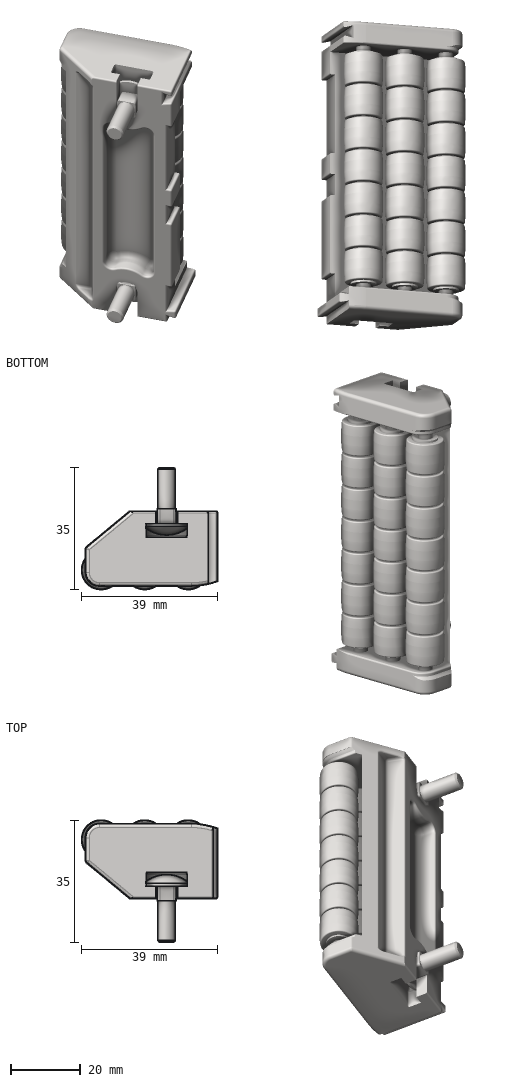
import cadquery as cq
import math

HEIGHT = 85.0
HALF_HEIGHT = HEIGHT / 2

LEFT_X = -23.3
RIGHT_X = 13.4
STEP_X = 11.9
BACK_Y = 21.5
BEVEL_BACK_Y = 10.5
BEVEL_FRONT_X = -10.5
BEVEL_SLOPE = BEVEL_BACK_Y / (BEVEL_FRONT_X - LEFT_X)
BACK_CORNER_R = 4.0
BEVEL_CORNER_R = 0.9
CROWN_START_X = 7.05
CROWN_R = 21.25
END_FILLET = 1.0
FRONT_FILLET = 0.5

BAY_FLOOR_Y = 8.3
BAY_HALF = 35.95
PAD_LEFT_X = -22.35
PAD_CORNER_R = 4.7
PAD_THICKNESS = 1.1
PAD_SLOPE = 0.85
PAD_FILLET = 0.4
PAD_SLOPE_ANGLE = 45.0

CREST_FILLET = 0.4
FINGER_HALF = 6.2
FINGER_END = 29.4
DOVETAIL_Z = 39.3
DOVETAIL_TIP_X = 14.6
DOVETAIL_NECK = 1.9
DOVETAIL_TIP = 2.9
SOCKET_FLOOR_X = 10.7
SOCKET_MOUTH = 2.2
SOCKET_WIDTH = 3.7

GROOVE_FLOOR_Y = 5.2
GROOVE_WALL_X = -11.9
GROOVE_MOUTH_X = -10.3
GROOVE_HALF = 39.5
GROOVE_FILLET = 0.85

BOLT_Z = 33.6
SHANK_R = 2.55
SHANK_END_Y = -12.5
SHANK_CHAMFER = 0.5
NECK_WIDTH = 5.4
NECK_CORNER_R = 0.8
NECK_END_Y = -0.7
HEAD_R = 6.6
HEAD_SEAT_Y = 3.6
HEAD_RIM = 0.8
HEAD_HEIGHT = 3.3
SLOT_HALF_WIDTH = 3.15
HEAD_SLOT_HALF_WIDTH = 5.9
SLOT_ROOF_Y = 7.6
SLOT_ROOF_FILLET = 0.6

GRIP_LEFT_X = -6.9
GRIP_RIGHT_X = 7.9
GRIP_DEPTH = 5.6
GRIP_END_R = 8.1
GRIP_CORNER_R = 2.2
GRIP_FLOOR_FILLET = 2.0

ROLLER_X = -18.8
ROLLER_Y = 16.9
ROW_PITCH = 12.5
ROW_COUNT = 3
ROLLER_COUNT = 7
ROLLER_PITCH = 9.7
ROLLER_LENGTH = 9.1
ROLLER_R = 5.6
ROLLER_FLAT_HALF = 1.45
ROLLER_END_R = 5.35
ROLLER_EDGE_R = 0.3
HUB_R = 3.7
HUB_OVERHANG = 0.5
AXLE_R = 2.1

CLEAR = 8.5
SPAN = 2 * HEIGHT
TOUCH = 0.1


def square_neck(front_y):
    """Square bolt neck with rounded corners, from front_y back to the seat of the bolt head."""
    return (
        cq.Workplane("XZ", origin=(0, front_y, 0))
        .rect(NECK_WIDTH, NECK_WIDTH)
        .extrude(front_y - HEAD_SEAT_Y)
        .edges("|Y")
        .fillet(NECK_CORNER_R)
    )


def plan_block():
    """Plan outline with rounded ends; it runs past the front and right sides, which are trimmed later."""
    far_x = RIGHT_X + CLEAR
    bevel_run_x = BEVEL_FRONT_X + CLEAR / BEVEL_SLOPE

    def crown_y(x):
        return BACK_Y - CROWN_R + math.sqrt(CROWN_R**2 - (x - CROWN_START_X) ** 2)

    mid_x = (CROWN_START_X + far_x) / 2
    block = (
        cq.Workplane("XY", origin=(0, 0, -HALF_HEIGHT))
        .moveTo(bevel_run_x, -CLEAR)
        .lineTo(far_x, -CLEAR)
        .lineTo(far_x, crown_y(far_x))
        .threePointArc((mid_x, crown_y(mid_x)), (CROWN_START_X, BACK_Y))
        .lineTo(LEFT_X, BACK_Y)
        .lineTo(LEFT_X, BEVEL_BACK_Y)
        .close()
        .extrude(HEIGHT)
    )
    back_corner = cq.selectors.NearestToPointSelector((LEFT_X, BACK_Y, 0))
    block = block.edges(back_corner).fillet(BACK_CORNER_R)
    bevel_corner = cq.selectors.NearestToPointSelector((LEFT_X, BEVEL_BACK_Y, 0))
    block = block.edges(bevel_corner).fillet(BEVEL_CORNER_R)
    front_side = cq.selectors.BoxSelector((-SPAN, -CLEAR - TOUCH, -SPAN), (SPAN, -CLEAR + TOUCH, SPAN))
    right_side = cq.selectors.BoxSelector((far_x - TOUCH, -SPAN, -SPAN), (far_x + TOUCH, SPAN, SPAN))
    end_edges = cq.selectors.StringSyntaxSelector("#Z")
    return block.edges(end_edges - front_side - right_side).fillet(END_FILLET)


def side_profile():
    """Front outline: plain on the left, interlocking fingers, dovetail and socket on the right."""
    far_x = LEFT_X - CLEAR
    h = HALF_HEIGHT
    points = [
        (far_x, -h),
        (STEP_X, -h),
        (STEP_X, -DOVETAIL_Z - DOVETAIL_NECK / 2),
        (DOVETAIL_TIP_X, -DOVETAIL_Z - DOVETAIL_TIP / 2),
        (DOVETAIL_TIP_X, -DOVETAIL_Z + DOVETAIL_TIP / 2),
        (STEP_X, -DOVETAIL_Z + DOVETAIL_NECK / 2),
        (STEP_X, -FINGER_END),
        (RIGHT_X, -FINGER_END),
        (RIGHT_X, -FINGER_HALF),
        (STEP_X, -FINGER_HALF),
        (STEP_X, 0),
        (RIGHT_X, 0),
        (RIGHT_X, FINGER_HALF),
        (STEP_X, FINGER_HALF),
        (STEP_X, FINGER_END),
        (RIGHT_X, FINGER_END),
        (RIGHT_X, DOVETAIL_Z - SOCKET_MOUTH / 2),
        (SOCKET_FLOOR_X, DOVETAIL_Z - SOCKET_WIDTH / 2),
        (SOCKET_FLOOR_X, DOVETAIL_Z + SOCKET_WIDTH / 2),
        (RIGHT_X, DOVETAIL_Z + SOCKET_MOUTH / 2),
        (RIGHT_X, h),
        (far_x, h),
    ]
    block = cq.Workplane("XZ").polyline(points).close().extrude(-(BACK_Y + CLEAR))
    crests = cq.selectors.BoxSelector((RIGHT_X - TOUCH, -SPAN, -SPAN), (DOVETAIL_TIP_X + TOUCH, SPAN, SPAN))
    block = block.edges("|Y").edges(crests).fillet(CREST_FILLET)
    return block.faces("<Y").edges().fillet(FRONT_FILLET)


def roller_bay():
    """Opening between the end caps, with the slope and step at the left of each cap."""
    bay = cq.Workplane("XY").box(
        SPAN, CLEAR + BACK_Y, 2 * BAY_HALF, centered=(True, False, True)
    ).translate((0, BAY_FLOOR_Y, 0))
    far = RIGHT_X + 2 * CLEAR
    pad = (
        cq.Workplane("XY", origin=(0, 0, BAY_HALF))
        .moveTo(PAD_LEFT_X, -CLEAR)
        .lineTo(far, -CLEAR)
        .lineTo(far, BACK_Y)
        .lineTo(PAD_LEFT_X + PAD_CORNER_R, BACK_Y)
        .radiusArc((PAD_LEFT_X, BACK_Y - PAD_CORNER_R), -PAD_CORNER_R)
        .close()
    )
    straight = pad.extrude(PAD_THICKNESS).faces("<Z").edges().fillet(PAD_FILLET)
    flare = straight.faces(">Z").wires().toPending().extrude(PAD_SLOPE, combine=False, taper=-PAD_SLOPE_ANGLE)
    zone = cq.Workplane("XY", origin=(0, BAY_FLOOR_Y, BAY_HALF)).box(
        SPAN, CLEAR + BACK_Y, PAD_THICKNESS + PAD_SLOPE, centered=(True, False, False)
    )
    upper = zone.cut(straight).cut(flare)
    return bay.union(upper).union(upper.mirror("XY"))


def bevel_groove():
    """Groove along the bevel: floor parallel to the front face, drafted side wall, rounded inner edges."""
    draft = (GROOVE_MOUTH_X - GROOVE_WALL_X) / GROOVE_FLOOR_Y
    outer_x = BEVEL_FRONT_X - (GROOVE_FLOOR_Y + CLEAR) / BEVEL_SLOPE
    groove = (
        cq.Workplane("XY", origin=(0, 0, -GROOVE_HALF))
        .moveTo(outer_x, GROOVE_FLOOR_Y)
        .lineTo(GROOVE_WALL_X, GROOVE_FLOOR_Y)
        .lineTo(GROOVE_MOUTH_X + draft * CLEAR, -CLEAR)
        .lineTo(outer_x, -CLEAR)
        .close()
        .extrude(2 * GROOVE_HALF)
    )
    root = groove.edges(cq.selectors.NearestToPointSelector((GROOVE_WALL_X, GROOVE_FLOOR_Y, 0)))
    return groove.faces(">Y or >X").edges("#Z").add(root).fillet(GROOVE_FILLET)


def round_groove_mouth(body):
    """Round the edges where the groove opens into the bevel and the front face."""
    floor_edge_x = BEVEL_FRONT_X - GROOVE_FLOOR_Y / BEVEL_SLOPE
    bevel_x = (floor_edge_x + BEVEL_FRONT_X) / 2
    bevel_y = GROOVE_FLOOR_Y / 2
    mouth_points = [
        (floor_edge_x, GROOVE_FLOOR_Y, 0),
        (GROOVE_MOUTH_X, 0, 0),
        (bevel_x, bevel_y, GROOVE_HALF),
        (bevel_x, bevel_y, -GROOVE_HALF),
    ]
    mouth = [body.edges(cq.selectors.NearestToPointSelector(point)).val() for point in mouth_points]
    return body.newObject(mouth).fillet(FRONT_FILLET)


def bolt_slot():
    """T-slot of the upper bolt: open at the top, with a round head seat and square neck seat."""

    def slot(half_width, y_from, y_to):
        return (
            cq.Workplane("XY")
            .box(2 * half_width, y_to - y_from, CLEAR + HALF_HEIGHT - BOLT_Z, centered=(True, False, False))
            .translate((0, y_from, BOLT_Z))
        )

    def disc(radius, y_from, y_to):
        return cq.Workplane("XZ", origin=(0, y_from, BOLT_Z)).circle(radius).extrude(y_from - y_to)

    narrow = slot(SLOT_HALF_WIDTH, -CLEAR, HEAD_SEAT_Y).union(disc(SLOT_HALF_WIDTH, -CLEAR, HEAD_SEAT_Y))
    wide = slot(HEAD_SLOT_HALF_WIDTH, HEAD_SEAT_Y, SLOT_ROOF_Y).union(disc(HEAD_R, HEAD_SEAT_Y, SLOT_ROOF_Y))
    wide = wide.faces(">Y").edges().fillet(SLOT_ROOF_FILLET)
    return narrow.union(wide).union(square_neck(-CLEAR).translate((0, 0, BOLT_Z)))


def grip_pocket():
    """Pocket whose ends bow around the bolt axes, with rounded corners tangent to sides and ends."""
    reach = GRIP_END_R + GRIP_CORNER_R

    def corner(side_x, direction):
        """Centre of a corner, and its tangent point on the bowed end."""
        cx = side_x + direction * GRIP_CORNER_R
        drop = math.sqrt(reach**2 - cx**2)
        share = GRIP_END_R / reach
        return (cx, BOLT_Z - drop), (cx * share, BOLT_Z - drop * share)

    def corner_middle(centre, tangent, side_x):
        start = math.pi if side_x < centre[0] else 0.0
        end = math.atan2(tangent[1] - centre[1], tangent[0] - centre[0])
        angle = (start + end) / 2
        return (centre[0] + GRIP_CORNER_R * math.cos(angle), centre[1] + GRIP_CORNER_R * math.sin(angle))

    left_centre, left_tangent = corner(GRIP_LEFT_X, 1)
    right_centre, right_tangent = corner(GRIP_RIGHT_X, -1)
    left_middle = corner_middle(left_centre, left_tangent, GRIP_LEFT_X)
    right_middle = corner_middle(right_centre, right_tangent, GRIP_RIGHT_X)
    bow_top = (0, BOLT_Z - GRIP_END_R)

    def flip(point):
        return (point[0], -point[1])

    left_side = (GRIP_LEFT_X, left_centre[1])
    right_side = (GRIP_RIGHT_X, right_centre[1])
    pocket = (
        cq.Workplane("XZ")
        .moveTo(*flip(left_side))
        .lineTo(*left_side)
        .threePointArc(left_middle, left_tangent)
        .threePointArc(bow_top, right_tangent)
        .threePointArc(right_middle, right_side)
        .lineTo(*flip(right_side))
        .threePointArc(flip(right_middle), flip(right_tangent))
        .threePointArc(flip(bow_top), flip(left_tangent))
        .threePointArc(flip(left_middle), flip(left_side))
        .close()
        .extrude(-GRIP_DEPTH)
    )
    return pocket.faces(">Y").edges().fillet(GRIP_FLOOR_FILLET)


def make_housing():
    body = plan_block().intersect(side_profile())
    body = body.cut(roller_bay())
    body = round_groove_mouth(body.cut(bevel_groove()))
    body = body.cut(grip_pocket())
    grip_edges = cq.selectors.BoxSelector(
        (GRIP_LEFT_X - TOUCH, -TOUCH, -BOLT_Z), (GRIP_RIGHT_X + TOUCH, TOUCH, BOLT_Z)
    )
    body = body.edges(grip_edges).fillet(FRONT_FILLET)
    slot = bolt_slot()
    return body.cut(slot).cut(slot.mirror("XY"))


def make_bolt(z):
    """Carriage bolt along Y: domed head, square neck, chamfered shank."""
    rim_y = HEAD_SEAT_Y + HEAD_RIM
    top_y = HEAD_SEAT_Y + HEAD_HEIGHT
    dome_h = top_y - rim_y
    dome_r = (HEAD_R**2 + dome_h**2) / (2 * dome_h)
    mid_x = HEAD_R / 2
    mid_y = top_y - dome_r + math.sqrt(dome_r**2 - mid_x**2)
    turned = (
        cq.Workplane("XY")
        .moveTo(0, SHANK_END_Y)
        .lineTo(SHANK_R - SHANK_CHAMFER, SHANK_END_Y)
        .lineTo(SHANK_R, SHANK_END_Y + SHANK_CHAMFER)
        .lineTo(SHANK_R, HEAD_SEAT_Y)
        .lineTo(HEAD_R, HEAD_SEAT_Y)
        .lineTo(HEAD_R, rim_y)
        .threePointArc((mid_x, mid_y), (0, top_y))
        .close()
        .revolve(360, (0, 0, 0), (0, 1, 0))
    )
    return turned.union(square_neck(NECK_END_Y)).translate((0, 0, z))


def make_roller_row(x):
    """Seven crowned rollers in one piece with their hub and axle."""
    hub_length = ROLLER_COUNT * ROLLER_PITCH + HUB_OVERHANG
    row = cq.Workplane("XY").circle(AXLE_R).extrude(BAY_HALF, both=True)
    row = row.union(cq.Workplane("XY").circle(HUB_R).extrude(hub_length / 2, both=True))
    half = ROLLER_LENGTH / 2
    crown_length = half - ROLLER_FLAT_HALF
    crown_drop = ROLLER_R - ROLLER_END_R
    crown_r = (crown_length**2 + crown_drop**2) / (2 * crown_drop)

    def crown_point(side):
        """Middle of a crown arc, which leaves the cylindrical band tangentially."""
        along = crown_length / 2
        return (ROLLER_R - crown_r + math.sqrt(crown_r**2 - along**2), side * (ROLLER_FLAT_HALF + along))

    roller = (
        cq.Workplane("XZ")
        .moveTo(0, -half)
        .lineTo(ROLLER_END_R, -half)
        .threePointArc(crown_point(-1), (ROLLER_R, -ROLLER_FLAT_HALF))
        .lineTo(ROLLER_R, ROLLER_FLAT_HALF)
        .threePointArc(crown_point(1), (ROLLER_END_R, half))
        .lineTo(0, half)
        .close()
        .revolve(360, (0, 0, 0), (0, 1, 0))
        .faces("|Z")
        .edges()
        .fillet(ROLLER_EDGE_R)
    )
    for index in range(ROLLER_COUNT):
        row = row.union(roller.translate((0, 0, (index - (ROLLER_COUNT - 1) / 2) * ROLLER_PITCH)))
    return row.translate((x, ROLLER_Y, 0))


housing = make_housing()
bolts = [make_bolt(z) for z in (-BOLT_Z, BOLT_Z)]
roller_rows = [make_roller_row(ROLLER_X + index * ROW_PITCH) for index in range(ROW_COUNT)]

result = cq.Compound.makeCompound(
    [housing.val(), *[bolt.val() for bolt in bolts], *[row.val() for row in roller_rows]]
)